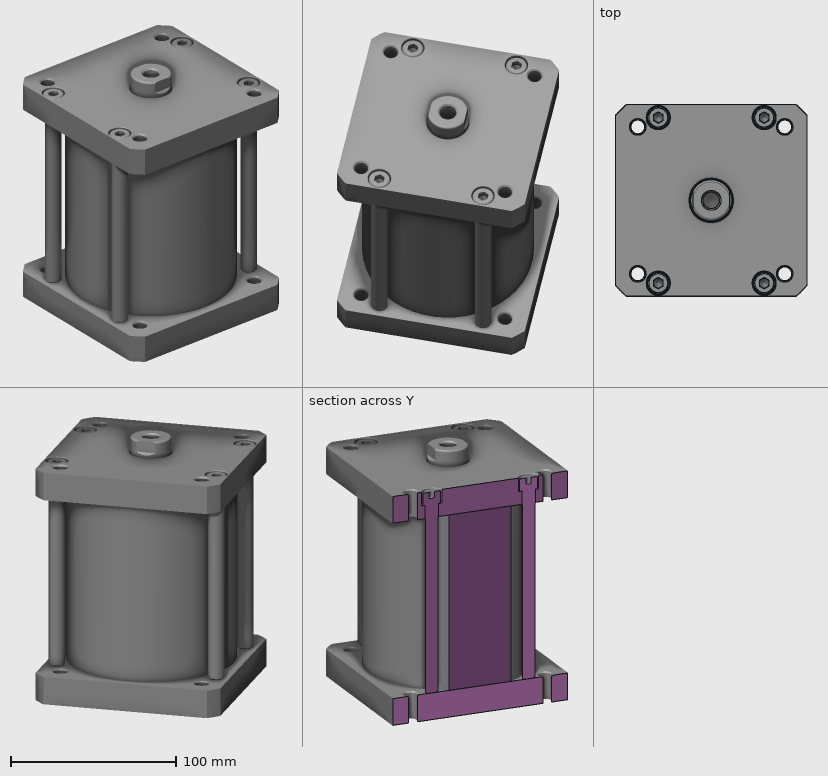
import cadquery as cq
import math

total_height = 157.0
plate_side = 116.0
plate_thickness = 17.5
plate_corner_diameter = 155.0
rod_projection = 10.0
head_top = total_height - rod_projection
head_bottom = head_top - plate_thickness
barrel_length = head_bottom - plate_thickness
barrel_diameter = 104.0

mount_offset = 44.5
mount_diameter = 8.3
mount_mouth_diameter = 10.0
mount_chamfer = (mount_mouth_diameter - mount_diameter) / 2

tie_offset_x = 32.0
tie_offset_y = 50.1
tie_diameter = 10.0
tie_foot_chamfer = 0.8
bolt_head_diameter = 13.0
bolt_head_height = 8.0
bolt_head_chamfer = 0.8
bolt_head_recess = 0.6
counterbore_diameter = 14.0
counterbore_chamfer = 0.3
counterbore_depth = bolt_head_recess + bolt_head_height
socket_across_flats = 6.0
socket_across_corners = socket_across_flats / math.cos(math.pi / 6)
socket_depth = 4.0
socket_tip_depth = 1.7

rod_diameter = 25.0
rod_edge_radius = 1.3
rod_bore_diameter = 25.6
rod_bore_mouth_diameter = 26.8
rod_bore_chamfer = (rod_bore_mouth_diameter - rod_bore_diameter) / 2
wrench_width = 22.0
wrench_height = 7.0
rod_hole_diameter = 10.0
rod_hole_mouth_diameter = 12.0
rod_hole_depth = 20.0
drill_tip_angle = 160

mount_points = [(sx * mount_offset, sy * mount_offset) for sx in (-1, 1) for sy in (-1, 1)]
tie_points = [(sx * tie_offset_x, sy * tie_offset_y) for sx in (-1, 1) for sy in (-1, 1)]


def make_plate(bottom_z):
    """Square plate with corners turned to a circle and four holes chamfered at the top."""
    square = (
        cq.Workplane("XY", origin=(0, 0, bottom_z))
        .rect(plate_side, plate_side)
        .extrude(plate_thickness)
    )
    corner_round = (
        cq.Workplane("XY", origin=(0, 0, bottom_z))
        .circle(plate_corner_diameter / 2)
        .extrude(plate_thickness)
    )
    plate = square.intersect(corner_round)
    return (
        plate.faces(">Z")
        .workplane(origin=(0, 0, 0))
        .pushPoints(mount_points)
        .hole(mount_diameter)
        .faces(">Z")
        .edges(cq.selectors.RadiusNthSelector(0))
        .chamfer(mount_chamfer)
    )


def make_head_plate():
    """Upper plate with the chamfered rod bore and counterbored tie bolt holes."""
    plate = make_plate(head_bottom)
    plate = plate.faces(">Z").workplane(origin=(0, 0, 0)).hole(rod_bore_diameter)
    bore_mouth = cq.selectors.RadiusNthSelector(1)
    plate = plate.faces(">Z").edges(bore_mouth).chamfer(rod_bore_chamfer)
    plate = (
        plate.faces(">Z")
        .workplane(origin=(0, 0, 0))
        .pushPoints(tie_points)
        .cboreHole(tie_diameter, counterbore_diameter, counterbore_depth)
    )
    counterbore_mouths = cq.selectors.RadiusNthSelector(1)
    return plate.faces(">Z").edges(counterbore_mouths).chamfer(counterbore_chamfer)


def make_barrel():
    """Plain round barrel clamped between the two plates."""
    return (
        cq.Workplane("XY", origin=(0, 0, plate_thickness))
        .circle(barrel_diameter / 2)
        .extrude(barrel_length)
    )


def make_tie_bolt(x, y):
    """Long bolt standing on the base plate, its socket head sunk in the head plate."""
    head_face = head_top - bolt_head_recess
    head_seat = head_top - counterbore_depth
    shank = (
        cq.Workplane("XY", origin=(x, y, plate_thickness))
        .circle(tie_diameter / 2)
        .extrude(head_seat - plate_thickness)
        .faces("<Z")
        .chamfer(tie_foot_chamfer)
    )
    head = (
        cq.Workplane("XY", origin=(x, y, head_seat))
        .circle(bolt_head_diameter / 2)
        .extrude(bolt_head_height)
        .faces(">Z")
        .chamfer(bolt_head_chamfer)
    )
    socket_floor = head_face - socket_depth
    socket = (
        cq.Workplane("XY", origin=(x, y, socket_floor))
        .transformed(rotate=(0, 0, 90))
        .polygon(6, socket_across_corners)
        .extrude(socket_depth)
    )
    tip = cq.Workplane(
        cq.Solid.makeCone(
            socket_across_flats / 2, 0, socket_tip_depth,
            pnt=cq.Vector(x, y, socket_floor), dir=cq.Vector(0, 0, -1),
        )
    )
    return shank.union(head).cut(socket).cut(tip)


def make_wrench_flat_cutter():
    """Profile beyond the +X wrench flat, with a floor sloping outward at 45 degrees."""
    flat_x = wrench_width / 2
    flat_bottom = total_height - wrench_height
    reach = rod_diameter / 2
    return (
        cq.Workplane("XZ")
        .moveTo(flat_x, total_height)
        .lineTo(flat_x, flat_bottom)
        .lineTo(flat_x + reach, flat_bottom - reach)
        .lineTo(flat_x + reach, total_height)
        .close()
        .extrude(reach, both=True)
    )


def make_rod():
    """Piston rod end with two wrench flats and a blind drilled hole."""
    rod = (
        cq.Workplane("XY", origin=(0, 0, head_bottom))
        .circle(rod_diameter / 2)
        .extrude(total_height - head_bottom)
        .faces(">Z")
        .edges()
        .fillet(rod_edge_radius)
    )
    flat_cutter = make_wrench_flat_cutter()
    rod = rod.cut(flat_cutter).cut(flat_cutter.mirror("YZ"))

    hole_radius = rod_hole_diameter / 2
    mouth_radius = rod_hole_mouth_diameter / 2
    hole_bottom = total_height - rod_hole_depth
    tip_depth = hole_radius / math.tan(math.radians(drill_tip_angle / 2))
    drilled_hole = (
        cq.Workplane("XZ")
        .moveTo(0, total_height)
        .lineTo(mouth_radius, total_height)
        .lineTo(hole_radius, total_height - (mouth_radius - hole_radius))
        .lineTo(hole_radius, hole_bottom)
        .lineTo(0, hole_bottom - tip_depth)
        .close()
        .revolve(360, (0, 0, 0), (0, 1, 0))
    )
    return rod.cut(drilled_hole)


base_plate = make_plate(0)
head_plate = make_head_plate()
barrel = make_barrel()
rod = make_rod()
tie_bolts = [make_tie_bolt(x, y) for x, y in tie_points]

result = cq.Compound.makeCompound(
    [
        base_plate.val(),
        head_plate.val(),
        barrel.val(),
        rod.val(),
        *[bolt.val() for bolt in tie_bolts],
    ]
)